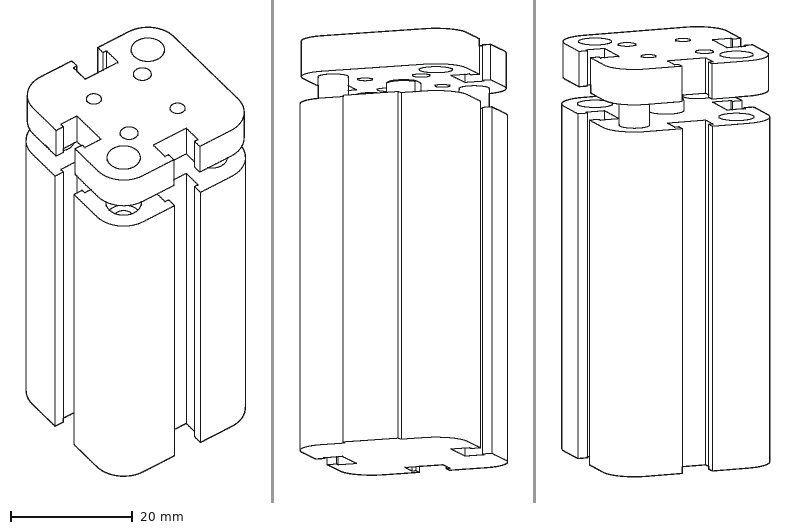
import cadquery as cq

TOTAL_HEIGHT = 68.5
HOUSING_HEIGHT = 58.0
PLATE_THICKNESS = 5.95
PLATE_BOTTOM = TOTAL_HEIGHT - PLATE_THICKNESS

HOUSING_WIDTH = 29.0
PLATE_WIDTH = 28.55
HOUSING_CORNER_RADIUS = 5.5
CORNER_CENTRE = HOUSING_WIDTH / 2 - HOUSING_CORNER_RADIUS

SLOT_MOUTH_WIDTH = 5.3
SLOT_INNER_WIDTH = 6.7
SLOT_FLOOR = 9.5
SLOT_LIP = 12.8
SLOT_ANGLES = (0, 180, 270)

RAIL_HEIGHT = 1.0
RAIL_BASE_WIDTH = 10.0
RAIL_TOP_WIDTH = 9.65

SCREW_HOLE_DIAMETER = 3.2
SCREW_HEAD_DIAMETER = 5.8
SCREW_HEAD_DEPTH = 3.4
SCREW_HOLE_DEPTH = 13.7
ACCESS_HOLE_DIAMETER = 5.5

SMALL_HOLE_OFFSET = 4.9
PIN_HOLE_DIAMETER = 2.95
THREAD_HOLE_DIAMETER = 2.5

GUIDE_ROD_DIAMETER = 5.0
PISTON_ROD_DIAMETER = 6.0
PISTON_NECK_DIAMETER = 5.8
NECK_ACROSS_FLATS = 5.0
NECK_HEIGHT = 2.7
NECK_TOP_CHAMFER = 0.2
SHOULDER_TAPER_HEIGHT = 0.35


def falling_diagonal(offset):
    """Two points on the diagonal through the (-X, +Y) and (+X, -Y) corners."""
    return [(-offset, offset), (offset, -offset)]


def rising_diagonal(offset):
    """Two points on the diagonal through the (-X, -Y) and (+X, +Y) corners."""
    return [(-offset, -offset), (offset, offset)]


def cylinders(points, diameter, bottom, top):
    """Upright cylinders at the given points, between two heights."""
    plane = cq.Workplane("XY").workplane(offset=bottom)
    return plane.pushPoints(points).circle(diameter / 2).extrude(top - bottom)


def slot_channel(width, outer_end, bottom, height):
    """Straight channel on the +X side, from the slot floor out to the given X."""
    length = outer_end - SLOT_FLOOR
    plane = cq.Workplane("XY").workplane(offset=bottom)
    return plane.center(SLOT_FLOOR + length / 2, 0).rect(length, width).extrude(height)


def slotted_block(width, bottom, top):
    """Square block with rounded corners and a T-slot in three of its sides."""
    height = top - bottom
    plane = cq.Workplane("XY").workplane(offset=bottom)
    block = plane.rect(width, width).extrude(height)
    block = block.edges("|Z").fillet(width / 2 - CORNER_CENTRE)

    slot = slot_channel(SLOT_MOUTH_WIDTH, HOUSING_WIDTH / 2, bottom, height)
    slot = slot.union(slot_channel(SLOT_INNER_WIDTH, SLOT_LIP, bottom, height))
    for angle in SLOT_ANGLES:
        block = block.cut(slot.rotate((0, 0, 0), (0, 0, 1), angle))
    return block


def make_rail():
    """Low tapered rail along the full height of the housing's +Y side."""
    base = HOUSING_WIDTH / 2
    outline = [
        (-RAIL_BASE_WIDTH / 2, base),
        (-RAIL_TOP_WIDTH / 2, base + RAIL_HEIGHT),
        (RAIL_TOP_WIDTH / 2, base + RAIL_HEIGHT),
        (RAIL_BASE_WIDTH / 2, base),
    ]
    return cq.Workplane("XY").polyline(outline).close().extrude(HOUSING_HEIGHT)


def make_housing():
    """Cylinder housing with its rail and two blind, counterbored screw holes."""
    screws = falling_diagonal(CORNER_CENTRE)
    head_seat = HOUSING_HEIGHT - SCREW_HEAD_DEPTH
    hole_end = HOUSING_HEIGHT - SCREW_HOLE_DEPTH
    housing = slotted_block(HOUSING_WIDTH, 0, HOUSING_HEIGHT).union(make_rail())
    housing = housing.cut(cylinders(screws, SCREW_HOLE_DIAMETER, hole_end, HOUSING_HEIGHT))
    return housing.cut(cylinders(screws, SCREW_HEAD_DIAMETER, head_seat, HOUSING_HEIGHT))


def make_piston_rod():
    """Piston rod stub, tapering to a slimmer neck that has two wrench flats facing X."""
    neck_bottom = PLATE_BOTTOM - NECK_HEIGHT
    rod_radius = PISTON_ROD_DIAMETER / 2
    neck_radius = PISTON_NECK_DIAMETER / 2
    half_profile = [
        (0, HOUSING_HEIGHT),
        (rod_radius, HOUSING_HEIGHT),
        (rod_radius, neck_bottom - SHOULDER_TAPER_HEIGHT),
        (neck_radius, neck_bottom),
        (neck_radius, PLATE_BOTTOM - NECK_TOP_CHAMFER),
        (neck_radius - NECK_TOP_CHAMFER, PLATE_BOTTOM),
        (0, PLATE_BOTTOM),
    ]
    rod = cq.Workplane("XZ").polyline(half_profile).close().revolve(360, (0, 0), (0, 1))

    flat_depth = neck_radius - NECK_ACROSS_FLATS / 2
    flat_centre = (NECK_ACROSS_FLATS + flat_depth) / 2
    flat_cuts = (
        cq.Workplane("XY").workplane(offset=neck_bottom)
        .pushPoints([(-flat_centre, 0), (flat_centre, 0)])
        .rect(flat_depth, PISTON_ROD_DIAMETER).extrude(NECK_HEIGHT)
    )
    return rod.cut(flat_cuts)


def make_plate():
    """Moving plate with its holes, two guide rods and the piston rod."""
    holes = (
        (falling_diagonal(CORNER_CENTRE), ACCESS_HOLE_DIAMETER),
        (falling_diagonal(SMALL_HOLE_OFFSET), PIN_HOLE_DIAMETER),
        (rising_diagonal(SMALL_HOLE_OFFSET), THREAD_HOLE_DIAMETER),
    )
    plate = slotted_block(PLATE_WIDTH, PLATE_BOTTOM, TOTAL_HEIGHT)
    for points, diameter in holes:
        plate = plate.cut(cylinders(points, diameter, PLATE_BOTTOM, TOTAL_HEIGHT))
    guide_rods = cylinders(rising_diagonal(CORNER_CENTRE), GUIDE_ROD_DIAMETER, HOUSING_HEIGHT, PLATE_BOTTOM)
    return plate.union(guide_rods).union(make_piston_rod())


housing = make_housing()
moving_plate = make_plate()

result = cq.Compound.makeCompound([housing.val(), moving_plate.val()])